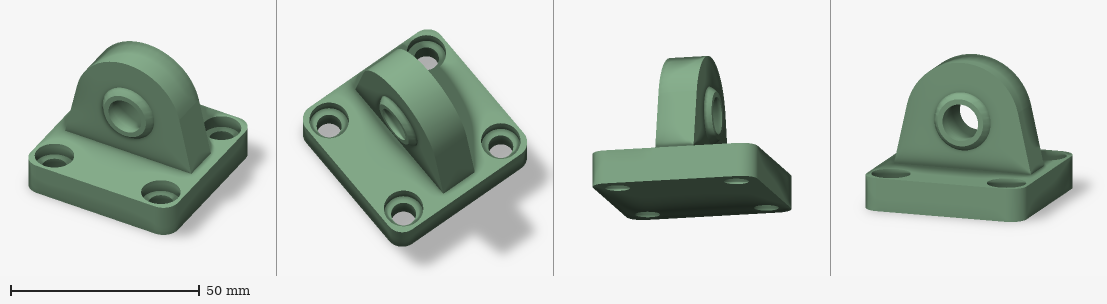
import cadquery as cq
import math

plate_side = 45.0
plate_thickness = 9.0
corner_radius = 4.4

hole_spacing = 32.5
hole_diameter = 6.6
counterbore_diameter = 10.5
counterbore_depth = 3.5

lug_height = 38.0
lug_radius = 15.98
lug_thickness = 10.5
lug_foot_width = 38.5
bore_height = lug_height - lug_radius

ball_diameter = 19.0
ball_width = 14.0
ball_bore = 10.0


def make_plate():
    plate = (
        cq.Workplane("XY")
        .rect(plate_side, plate_side)
        .extrude(plate_thickness)
        .edges("|Z")
        .fillet(corner_radius)
    )
    return (
        plate.faces(">Z")
        .workplane()
        .rect(hole_spacing, hole_spacing, forConstruction=True)
        .vertices()
        .cboreHole(hole_diameter, counterbore_diameter, counterbore_depth)
    )


def make_lug():
    half_foot = lug_foot_width / 2
    drop = bore_height - plate_thickness
    foot_distance = math.hypot(half_foot, drop)
    tangent_angle = math.acos(lug_radius / foot_distance) - math.atan2(drop, half_foot)
    tangent_x = lug_radius * math.cos(tangent_angle)
    tangent_z = bore_height + lug_radius * math.sin(tangent_angle)
    return (
        cq.Workplane("XZ")
        .moveTo(-half_foot, plate_thickness)
        .lineTo(half_foot, plate_thickness)
        .lineTo(tangent_x, tangent_z)
        .threePointArc((0, lug_height), (-tangent_x, tangent_z))
        .close()
        .extrude(lug_thickness / 2, both=True)
    )


def make_sphere():
    return cq.Workplane("XY").sphere(ball_diameter / 2).translate((0, 0, bore_height))


def make_housing():
    return make_plate().union(make_lug()).cut(make_sphere())


def make_ball():
    ring = (
        cq.Workplane("XZ")
        .center(0, bore_height)
        .circle(ball_diameter / 2)
        .circle(ball_bore / 2)
        .extrude(ball_width / 2, both=True)
    )
    return ring.intersect(make_sphere())


housing = make_housing()
ball = make_ball()

result = cq.Compound.makeCompound([housing.solids().val(), ball.solids().val()])